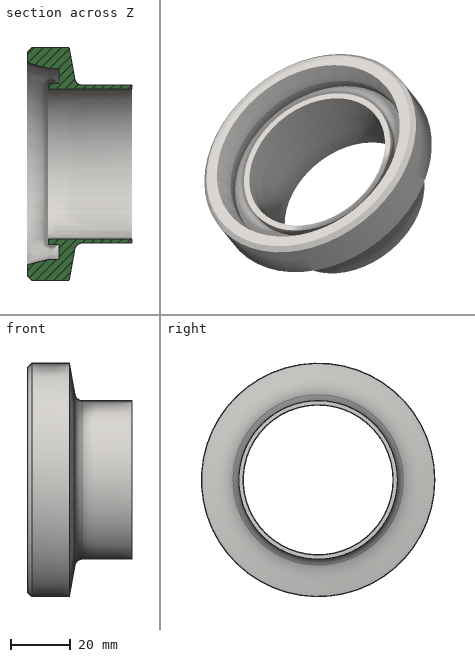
import cadquery as cq

total_length = 35.0
flange_radius = 78 / 2
flange_length = 14.05
flange_chamfer = 1.5

tube_radius = 53.0 / 2
bore_radius = 50.0 / 2
cone_end_x = 16.3
neck_fillet = 2.35
edge_search_margin = 0.1

seat_mouth_radius = 67.4 / 2
seat_depth = 7.0
groove_outer_radius = 63.8 / 2
lip_radius = 54.0 / 2
groove_floor_x = 10.45

x_start = -total_length / 2


def make_body():
    """Solid flange, cone and tube, with a fillet where the cone meets the tube."""
    profile = (
        cq.Workplane("XY")
        .moveTo(0, 0)
        .lineTo(0, flange_radius - flange_chamfer)
        .lineTo(flange_chamfer, flange_radius)
        .lineTo(flange_length, flange_radius)
        .lineTo(cone_end_x, tube_radius)
        .lineTo(total_length, tube_radius)
        .lineTo(total_length, 0)
        .close()
    )
    body = profile.revolve(360, (0, 0, 0), (1, 0, 0))
    neck_edge = cq.selectors.BoxSelector(
        (cone_end_x - edge_search_margin, -flange_radius, -flange_radius),
        (cone_end_x + edge_search_margin, flange_radius, flange_radius),
    )
    return body.edges(neck_edge).fillet(neck_fillet)


def make_cavity():
    """Tapered seat, annular groove behind it and through bore inside the lip."""
    profile = (
        cq.Workplane("XY")
        .moveTo(0, 0)
        .lineTo(0, seat_mouth_radius)
        .lineTo(seat_depth, groove_outer_radius)
        .lineTo(groove_floor_x, groove_outer_radius)
        .lineTo(groove_floor_x, lip_radius)
        .lineTo(seat_depth, lip_radius)
        .lineTo(seat_depth, bore_radius)
        .lineTo(total_length, bore_radius)
        .lineTo(total_length, 0)
        .close()
    )
    return profile.revolve(360, (0, 0, 0), (1, 0, 0))


result = make_body().cut(make_cavity()).translate((x_start, 0, 0))